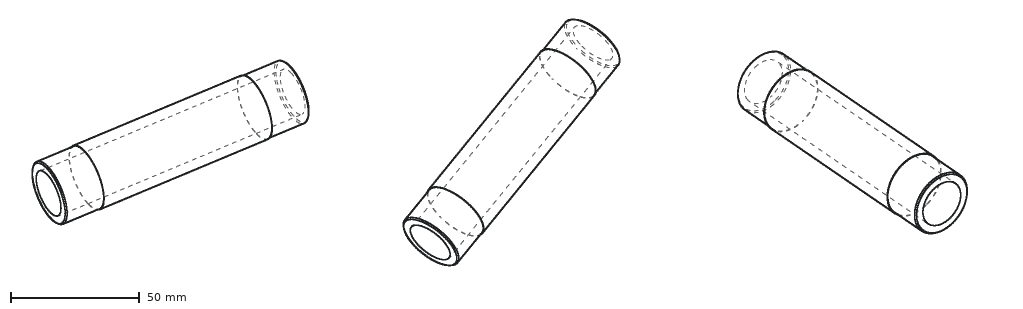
import cadquery as cq

length = 110.0
body_diameter = 27.0
end_diameter = 26.4
bore_diameter = 18.9

end_length = 17.0
end_chamfer = 0.5

body_length = length - 2 * end_length


def cylinder_along_y(diameter, height):
    """Solid cylinder along Y, centred on the origin."""
    start = cq.Workplane("XZ", origin=(0, height / 2, 0))
    return start.circle(diameter / 2).extrude(height)


core = cylinder_along_y(end_diameter, length).faces("<Y or >Y").edges().chamfer(end_chamfer)

body = cylinder_along_y(body_diameter, body_length)

bore = cylinder_along_y(bore_diameter, length)

result = core.union(body).cut(bore)